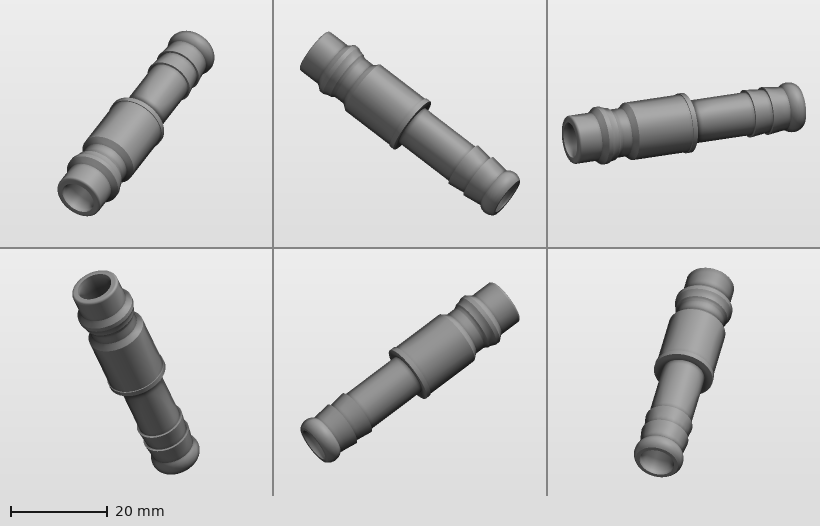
import cadquery as cq

length = 51.0
bore_radius = 3.65

tube_radius = 4.5
nose_length = 3.45
nose_radius = 5.2
barb_radius = 5.0
barb_length = 4.0
barb_count = 2

collar_start = 25.0
collar_width = 1.0
collar_radius = 6.25
body_radius = 6.0
body_end = 38.0

plug_radius = 5.05
cone_length = 1.2
neck_end = 41.25
step_end = 42.2
step_radius = 5.5
ring_start = 43.8
ring_width = 0.9
flare_sag = 0.1
end_fillet = 0.5

hose_end_y = length / 2


def at(radius, station):
    """Profile point at a radius and a distance from the hose end."""
    return (radius, hose_end_y - station)


def add_barbs(outline):
    """Cones that widen away from the hose end, each ending in a square step."""
    for index in range(barb_count):
        crest = nose_length + (index + 1) * barb_length
        outline = outline.lineTo(*at(barb_radius, crest)).lineTo(*at(tube_radius, crest))
    return outline


def add_flare(outline, start_radius, start, end_radius, end):
    """Hollow arc that widens slowly at first and then more steeply."""
    middle_radius = (start_radius + end_radius) / 2 - flare_sag
    return outline.threePointArc(at(middle_radius, (start + end) / 2), at(end_radius, end))


collar_end = collar_start + collar_width
ring_end = ring_start + ring_width

outline = cq.Workplane("XY").moveTo(*at(bore_radius, 0)).lineTo(*at(tube_radius, 0))
outline = outline.threePointArc(at(nose_radius, nose_length / 2), at(tube_radius, nose_length))
outline = add_barbs(outline)

outline = (
    outline.lineTo(*at(tube_radius, collar_start))
    .lineTo(*at(collar_radius, collar_start))
    .lineTo(*at(collar_radius, collar_end))
    .lineTo(*at(body_radius, collar_end))
    .lineTo(*at(body_radius, body_end))
    .lineTo(*at(plug_radius, body_end + cone_length))
    .lineTo(*at(plug_radius, neck_end))
)

outline = add_flare(outline, plug_radius, neck_end, step_radius, step_end)
outline = add_flare(outline, step_radius, step_end, body_radius, ring_start)

outline = (
    outline.lineTo(*at(body_radius, ring_end))
    .lineTo(*at(plug_radius, ring_end + cone_length))
    .lineTo(*at(plug_radius, length - end_fillet))
    .radiusArc(at(plug_radius - end_fillet, length), end_fillet)
    .lineTo(*at(bore_radius, length))
    .close()
)

result = outline.revolve(360, (0, 0, 0), (0, 1, 0))